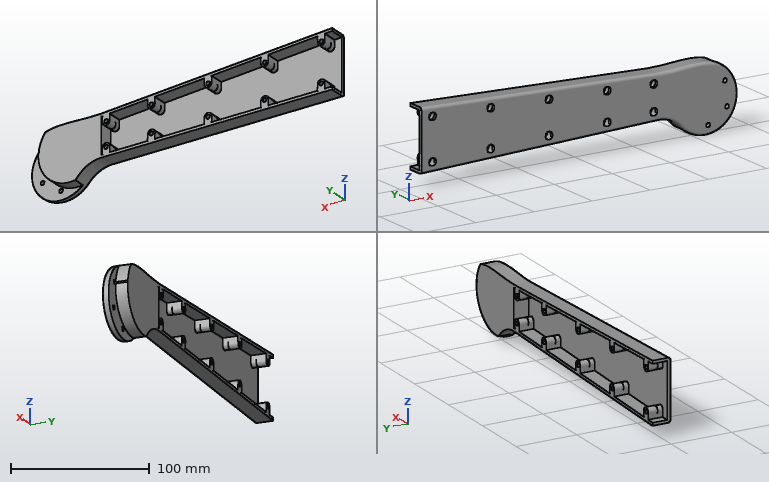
import cadquery as cq
import math


overall_length = 272.5
overall_height = 60.8
depth = 15.0

arm_length = 204.5
wide_half_height = 25.0
narrow_half_height = 18.0
skin_thickness = 3.0
wall_thickness = 2.5
edge_radius = 2.5

head_radius = 27.5
head_x = overall_length - head_radius
head_z = wide_half_height + head_radius - overall_height
crown_angle = 70
flange_thickness = 5.5
raised_x = 230.5
raised_radius = 29.5

screw_columns = [9.5, 59.7, 109.8, 160.0, 200.0]
screw_inset = 7.5
boss_radius = 3.3
screw_diameter = 3.3
counterbore_diameter = 6.0
counterbore_depth = 7.0

rim_hole_diameter = 3.3
rim_hole_circle_radius = 20.0
rim_hole_angles = [35, -25, -85]

taper_angle = math.atan2(wide_half_height - narrow_half_height, arm_length)


def half_height(x):
    """Half height of the arm's outer shape at x."""
    return wide_half_height - x * math.tan(taper_angle)


def lower_blend_points():
    """Middle and end of the arc that joins the lower arm edge to the head, tangent to both."""
    normal_x = math.sin(taper_angle)
    normal_z = -math.cos(taper_angle)
    offset_x = arm_length - head_x
    offset_z = -narrow_half_height - head_z
    gap = offset_x**2 + offset_z**2 - head_radius**2
    reach = offset_x * normal_x + offset_z * normal_z
    radius = gap / (2 * (head_radius - reach))

    center_x = arm_length + radius * normal_x
    center_z = -narrow_half_height + radius * normal_z
    start_angle = math.atan2(-normal_z, -normal_x)
    end_angle = math.atan2(head_z - center_z, head_x - center_x)
    points = []
    for angle in ((start_angle + end_angle) / 2, end_angle):
        points.append((center_x + radius * math.cos(angle), center_z + radius * math.sin(angle)))
    return points


def front_plane(y=0.0):
    """XZ sketch plane at y whose extrusions run toward +Y."""
    return cq.Workplane(cq.Plane(origin=(0, y, 0), xDir=(1, 0, 0), normal=(0, -1, 0)))


def make_outer_body():
    crown = math.radians(crown_angle)
    crown_end = (head_x + head_radius * math.cos(crown), head_z + head_radius * math.sin(crown))
    crown_direction = (math.sin(crown), -math.cos(crown))
    arm_direction = (math.cos(taper_angle), -math.sin(taper_angle))
    lower_middle, lower_end = lower_blend_points()
    body = (
        front_plane()
        .moveTo(0, -wide_half_height)
        .lineTo(0, wide_half_height)
        .lineTo(arm_length, narrow_half_height)
        .spline([crown_end], tangents=[arm_direction, crown_direction], includeCurrent=True)
        .threePointArc((head_x + head_radius, head_z), lower_end)
        .threePointArc(lower_middle, (arm_length, -narrow_half_height))
        .close()
        .extrude(-depth)
    )
    front_edges = body.faces("<Y").edges().filter(lambda edge: edge.Center().x > edge_radius)
    return body.newObject(front_edges.vals()).fillet(edge_radius)


def make_head_step():
    """Material behind the thin flange of the head, outside the raised round."""
    step_height = depth - flange_thickness
    step_start = (arm_length + raised_x) / 2
    block = (
        front_plane(flange_thickness)
        .moveTo(step_start + head_radius, head_z)
        .rect(2 * head_radius, 4 * head_radius)
        .extrude(-step_height)
    )
    raised_round = (
        front_plane(flange_thickness)
        .moveTo(raised_x, 0)
        .circle(raised_radius)
        .extrude(-step_height)
    )
    return block.cut(raised_round)


def make_cavity():
    wall_height = wall_thickness / math.cos(taper_angle)
    wide = wide_half_height - wall_height
    narrow = narrow_half_height - wall_height
    return (
        front_plane(skin_thickness)
        .polyline([(0, -wide), (0, wide), (arm_length, narrow), (arm_length, -narrow)])
        .close()
        .extrude(skin_thickness - depth)
    )


def screw_points(side):
    """Screw centres along the upper (+1) or lower (-1) wall."""
    return [(x, side * (half_height(x) - screw_inset)) for x in screw_columns]


def make_boss(x, z, side):
    """Round-nosed rib around a screw, square to the wall and running into it."""
    nose = cq.Workplane().circle(boss_radius).extrude(depth - skin_thickness)
    rib_length = screw_inset - wall_thickness / 2
    rib = (
        cq.Workplane()
        .center(0, rib_length / 2)
        .rect(2 * boss_radius, rib_length)
        .extrude(depth - skin_thickness)
    )
    tilt = math.degrees(taper_angle)
    boss = nose.union(rib).rotate((0, 0, 0), (0, 0, 1), -tilt)
    boss = boss.rotate((0, 0, 0), (1, 0, 0), 90).translate((0, depth, 0))
    if side < 0:
        boss = boss.mirror("XY")
    return boss.translate((x, 0, z))


def make_screw_holes(points):
    """Through holes with counterbores sunk from the outer face of the skin."""
    holes = front_plane().pushPoints(points).circle(screw_diameter / 2).extrude(-depth)
    counterbores = (
        front_plane()
        .pushPoints(points)
        .circle(counterbore_diameter / 2)
        .extrude(-counterbore_depth)
    )
    return holes.union(counterbores)


def make_rim_holes():
    """Small through holes on a circle around the centre of the head."""
    points = []
    for degrees in rim_hole_angles:
        angle = math.radians(degrees)
        x = head_x + rim_hole_circle_radius * math.cos(angle)
        z = head_z + rim_hole_circle_radius * math.sin(angle)
        points.append((x, z))
    return front_plane().pushPoints(points).circle(rim_hole_diameter / 2).extrude(-depth)


result = make_outer_body().cut(make_head_step()).cut(make_cavity())
for side in (1, -1):
    points = screw_points(side)
    for x, z in points:
        result = result.union(make_boss(x, z, side))
    result = result.cut(make_screw_holes(points))
result = result.cut(make_rim_holes())